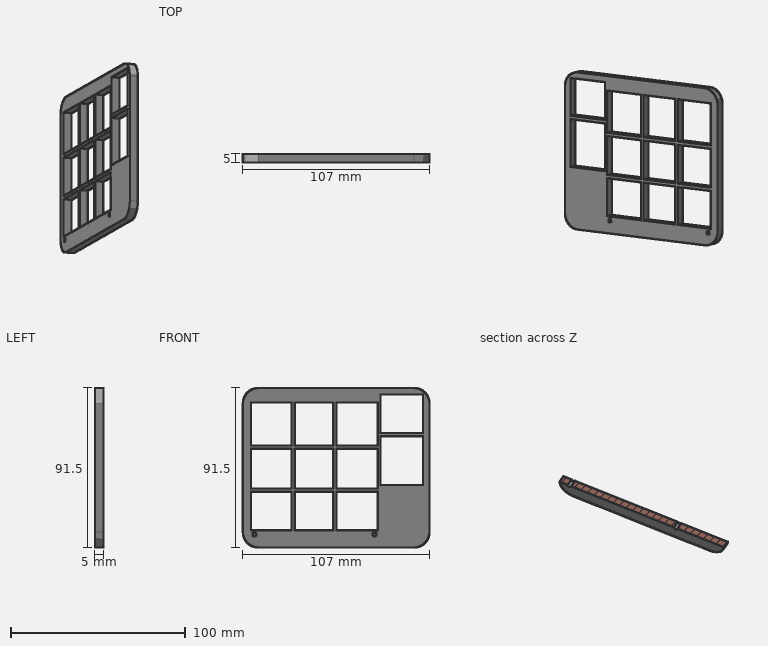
import cadquery as cq

PLATE_WIDTH = 107.04
PLATE_HEIGHT = 91.49
PLATE_THICKNESS = 5.0
CORNER_RADIUS = 9.0

RIB = 2.0

GRID_LEFT = 4.8
GRID_BOTTOM = 10.0
COLUMN_WIDTHS = (23.0, 22.0, 23.5)
ROW_HEIGHTS = (22.0, 22.5, 24.5)

SIDE_COLUMN_GAP = 1.7
SIDE_COLUMN_WIDTH = 24.2
SIDE_COLUMN_BOTTOM = 36.0
SIDE_WINDOW_HEIGHTS = (27.7, 22.0)

HOLE_DIAMETER = 2.0
HOLE_INSET = 1.8
HOLE_DROP = 2.4


def spans(start, sizes):
    """Return (start, size) of consecutive openings separated by one rib."""
    result_spans = []
    position = start
    for size in sizes:
        result_spans.append((position, size))
        position += size + RIB
    return result_spans


def through_block(left, bottom, width, height):
    """Rectangular block as deep as the plate, placed by its lower left corner."""
    block = cq.Workplane("XY").box(width, PLATE_THICKNESS, height, centered=False)
    return block.translate((left, 0, bottom))


def make_plate():
    plate = through_block(0, 0, PLATE_WIDTH, PLATE_HEIGHT)
    return plate.edges("|Y").fillet(CORNER_RADIUS)


def cut_windows(plate, columns, rows):
    for left, width in columns:
        for bottom, height in rows:
            plate = plate.cut(through_block(left, bottom, width, height))
    return plate


def cut_holes(plate, centers):
    pins = (
        cq.Workplane("XZ")
        .pushPoints(centers)
        .circle(HOLE_DIAMETER / 2)
        .extrude(-PLATE_THICKNESS)
    )
    return plate.cut(pins)


grid_columns = spans(GRID_LEFT, COLUMN_WIDTHS)
grid_rows = spans(GRID_BOTTOM, ROW_HEIGHTS)
last_column_left, last_column_width = grid_columns[-1]
grid_right = last_column_left + last_column_width

side_columns = spans(grid_right + SIDE_COLUMN_GAP, (SIDE_COLUMN_WIDTH,))
side_rows = spans(SIDE_COLUMN_BOTTOM, SIDE_WINDOW_HEIGHTS)

hole_height = GRID_BOTTOM - HOLE_DROP
hole_centers = [
    (GRID_LEFT + HOLE_INSET, hole_height),
    (grid_right - HOLE_INSET, hole_height),
]

result = make_plate()
result = cut_windows(result, grid_columns, grid_rows)
result = cut_windows(result, side_columns, side_rows)
result = cut_holes(result, hole_centers)